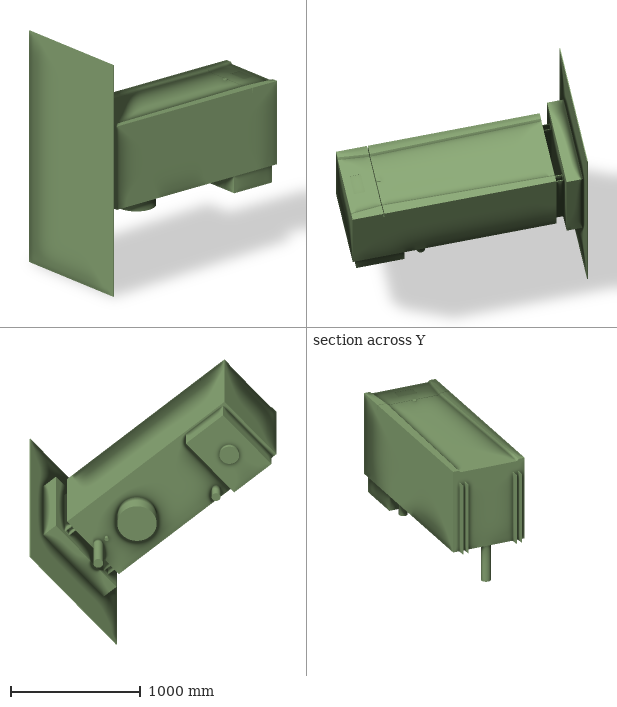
import cadquery as cq

total_height = 1810.0

plate_width, plate_depth, plate_thickness = 1018.0, 1898.0, 6.3
platform_width, platform_depth, platform_top = 712.0, 785.0, 135.0

cabinet_width, cabinet_depth, cabinet_bottom = 610.0, 683.0, 205.0
cabinet_front = cabinet_depth / 2
cabinet_rear = -cabinet_depth / 2
overlap = 10.0

panel_recess = 15.0
strip_slope_run = 15.0
strip_width_top, strip_width_seam, strip_width_bottom = 51.0, 74.0, 50.0
panel_floor = cabinet_front - panel_recess

seam_below_top, seam_gap, seam_depth = 247.0, 5.0, 42.0
seam_height = total_height - seam_below_top

display_width, display_height, display_depth = 160.0, 90.0, 2.0
display_below_top = 103.0
lock_diameter, lock_height = 35.0, 8.0
lock_below_seam = 20.0

rail_width, rail_wall, rail_inset = 51.0, 5.0, 51.0
rail_front_gap = 103.0

hopper_inset, hopper_height, hopper_depth, hopper_below_top = 20.0, 380.0, 148.0, 32.0
collar_diameter, collar_projection, collar_below_top = 152.0, 32.0, 215.0
inlet_diameter, inlet_depth, inlet_below_top, inlet_x = 68.0, 130.0, 550.0, -232.0
flue_diameter, flue_depth, flue_below_top = 304.0, 148.0, 1156.0
stub_diameter, stub_depth, stub_below_top = 30.0, 32.0, 1465.0
drain_diameter, drain_depth, drain_below_top = 75.0, 313.0, 1551.0


def block(width, y_low, y_high, z_low, z_high, x_middle=0.0):
    """Box centred on x_middle, between the given Y and Z limits."""
    size = (width, y_high - y_low, z_high - z_low)
    return cq.Workplane("XY").box(*size, centered=(True, False, False)).translate((x_middle, y_low, z_low))


def rear_cylinder(diameter, depth, below_top, x_middle=0.0):
    """Round fitting standing out of the cabinet's rear face."""
    return (
        cq.Workplane("XY", origin=(x_middle, total_height - below_top, cabinet_rear - depth))
        .circle(diameter / 2)
        .extrude(depth + overlap)
    )


def panel_outline(inset):
    """Corners of the sunk panel, with both long sides moved inwards by inset."""
    half = cabinet_width / 2 - inset
    right_side = [
        (half - strip_width_bottom, cabinet_bottom),
        (half - strip_width_seam, seam_height),
        (half - strip_width_top, total_height),
    ]
    left_side = [(-x, y) for x, y in reversed(right_side)]
    return right_side + left_side


def foot_rail(side):
    """Channel rail under one side (-1 or 1), open at both ends."""
    x_middle = side * (cabinet_width / 2 - rail_inset - rail_width / 2)
    z_high = cabinet_front - rail_front_gap
    rail = block(rail_width, platform_top, cabinet_bottom, cabinet_rear, z_high, x_middle)
    hollow = block(
        rail_width - 2 * rail_wall, platform_top + rail_wall, cabinet_bottom, cabinet_rear, z_high, x_middle
    )
    return rail.cut(hollow)


plate = block(plate_width, 0, plate_thickness, -plate_depth / 2, plate_depth / 2)
platform = block(platform_width, 0, platform_top, -platform_depth / 2, platform_depth / 2)

cabinet = block(cabinet_width, cabinet_bottom, total_height, cabinet_rear, cabinet_front)
panel_pocket = (
    cq.Workplane("XY", origin=(0, 0, panel_floor))
    .polyline(panel_outline(strip_slope_run))
    .close()
    .workplane(offset=panel_recess)
    .polyline(panel_outline(0))
    .close()
    .loft(ruled=True)
)
seam = block(
    cabinet_width,
    seam_height - seam_gap / 2,
    seam_height + seam_gap / 2,
    cabinet_front - seam_depth,
    cabinet_front,
)
display_middle = total_height - display_below_top
display = block(
    display_width,
    display_middle - display_height / 2,
    display_middle + display_height / 2,
    panel_floor - display_depth,
    panel_floor,
)
cabinet = cabinet.cut(panel_pocket).cut(seam).cut(display)

lock = (
    cq.Workplane("XY", origin=(0, seam_height - lock_below_seam, panel_floor - overlap))
    .circle(lock_diameter / 2)
    .extrude(overlap + lock_height)
)

hopper_top = total_height - hopper_below_top
hopper = block(
    cabinet_width - 2 * hopper_inset,
    hopper_top - hopper_height,
    hopper_top,
    cabinet_rear - hopper_depth,
    cabinet_rear + overlap,
)
fittings = [
    hopper,
    rear_cylinder(collar_diameter, hopper_depth + collar_projection, collar_below_top),
    rear_cylinder(inlet_diameter, inlet_depth, inlet_below_top, inlet_x),
    rear_cylinder(flue_diameter, flue_depth, flue_below_top),
    rear_cylinder(stub_diameter, stub_depth, stub_below_top),
    rear_cylinder(drain_diameter, drain_depth, drain_below_top),
]

result = plate.union(platform).union(cabinet).union(lock)
for side in (-1, 1):
    result = result.union(foot_rail(side))
for fitting in fittings:
    result = result.union(fitting)